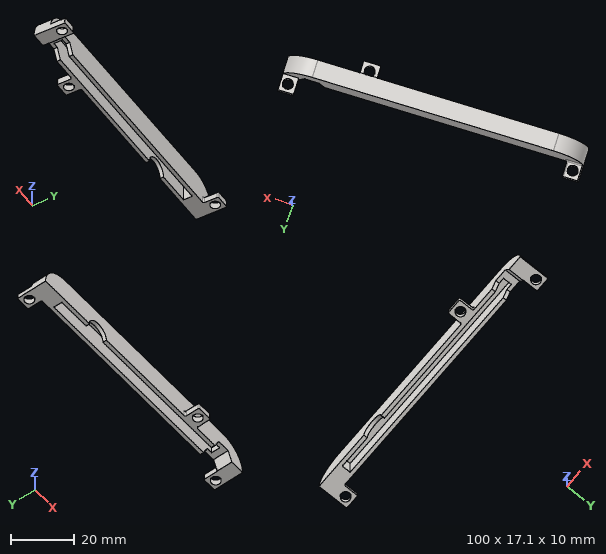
import cadquery as cq

length = 100.0
height = 10.0
thickness = 6.0
end_radius = height

front_tab_width = 5.8
rear_tab_width = 5.5
front_tab_length = 5.6
rear_tab_length = 5.5
tab_height = 2.5
tab_hole_diameter = 3.4
front_tab_corner_radius = 0.5
rear_tab_corner_radius = 0.4
root_radius = 0.5
tab_top_radius = 0.5
front_tab_x = 23.7
rear_tab_x = (length - rear_tab_width) / 2

opening_x = -23.4
opening_diameter = 8.5

wall = 1.4
cavity_length = length - 2 * end_radius

notch_x = 40.2
notch_bottom_width = 8.5
notch_top_width = 4.7
notch_height = 3.9


def profile(y_start, y_end):
    """Rounded-end side profile extruded between two Y positions."""
    half = length / 2
    flat = half - end_radius
    diagonal = end_radius * 0.5 ** 0.5
    return (
        cq.Workplane("XZ", origin=(0, y_end, 0))
        .moveTo(-half, 0)
        .threePointArc((-flat - diagonal, diagonal), (-flat, height))
        .lineTo(flat, height)
        .threePointArc((flat + diagonal, diagonal), (half, 0))
        .close()
        .extrude(y_end - y_start)
    )


def tab_block(x, y_start, width, depth):
    """Plain tab, centred on x and reaching toward +Y from y_start."""
    return cq.Workplane("XY").box(
        width, depth, tab_height, centered=(True, False, False)
    ).translate((x, y_start, 0))


front_tab = tab_block(front_tab_x, -front_tab_length, front_tab_width, front_tab_length)
front_tab = front_tab.edges("|Z and <Y").fillet(front_tab_corner_radius)
body = profile(0, thickness).union(front_tab)

root_edges = cq.selectors.BoxSelector(
    (front_tab_x - front_tab_width, -root_radius / 2, 0),
    (front_tab_x + front_tab_width, root_radius / 2, tab_height),
)
body = body.edges("|Z").edges(root_edges).fillet(root_radius)

rear_end = profile(thickness, thickness + rear_tab_length)
rounded_top_blank = tab_block(-rear_tab_x, thickness, rear_tab_width, rear_tab_length)
rounded_top_blank = rounded_top_blank.edges(">Z and >X").fillet(tab_top_radius)
for side in (-1, 1):
    rear_tab = tab_block(side * rear_tab_x, thickness, rear_tab_width, rear_tab_length)
    rear_tab = rear_tab.edges("|Z and >Y").fillet(rear_tab_corner_radius)
    if side < 0:
        rear_tab = rear_tab.intersect(rounded_top_blank)
    body = body.union(rear_tab.intersect(rear_end))

rear_root_edges = cq.selectors.BoxSelector(
    (-length / 2, thickness - root_radius / 2, tab_height - root_radius / 2),
    (-length / 2 + rear_tab_width, thickness + root_radius / 2, tab_height + root_radius / 2),
)
body = body.edges("|X").edges(rear_root_edges).fillet(root_radius)

hole_points = [
    (front_tab_x, -front_tab_length / 2),
    (-rear_tab_x, thickness + rear_tab_length / 2),
    (rear_tab_x, thickness + rear_tab_length / 2),
]
holes = cq.Workplane("XY").pushPoints(hole_points).circle(tab_hole_diameter / 2).extrude(tab_height)

opening = (
    cq.Workplane("XZ", origin=(opening_x, wall, 0))
    .circle(opening_diameter / 2)
    .extrude(wall)
)

cavity = cq.Workplane("XY").box(
    cavity_length, thickness - 2 * wall, height - wall, centered=(True, False, False)
).translate((0, wall, 0))

notch = (
    cq.Workplane("XZ", origin=(notch_x, thickness, 0))
    .moveTo(-notch_bottom_width / 2, 0)
    .lineTo(-notch_top_width / 2, notch_height)
    .lineTo(notch_top_width / 2, notch_height)
    .lineTo(notch_bottom_width / 2, 0)
    .close()
    .extrude(thickness)
)

result = body.cut(holes).cut(cavity).cut(opening).cut(notch)